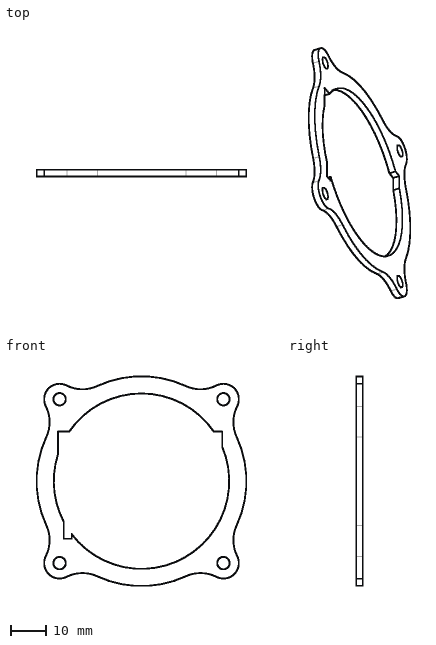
import cadquery as cq
import math

thickness = 2.0
ring_radius = 29.95
bore_radius = 25.0
hole_offset = 23.35
hole_diameter = 3.5
lug_radius = 4.45
blend_radius = 10.0

relief_left = -23.8
relief_right = 23.0
relief_top = 14.15

notch_left = -22.15
notch_right = -19.95
notch_bottom = -16.4


def polar(radius, angle):
    return (radius * math.cos(angle), radius * math.sin(angle))


def toward(start, end, distance):
    """Point at the given distance from start on the line to end."""
    ratio = distance / math.dist(start, end)
    return (start[0] + ratio * (end[0] - start[0]), start[1] + ratio * (end[1] - start[1]))


def rotate(point, angle):
    return polar(math.hypot(*point), math.atan2(point[1], point[0]) + angle)


def mirror_diagonal(point):
    return (point[1], point[0])


def outer_profile():
    """Ring with four lugs, as tangent arcs around the XZ plane."""
    centre = (0.0, 0.0)
    lug_centre = (hole_offset, hole_offset)
    lug_distance = math.hypot(*lug_centre)

    ring_to_blend = ring_radius + blend_radius
    lug_to_blend = lug_radius + blend_radius
    cosine = (ring_to_blend**2 + lug_distance**2 - lug_to_blend**2) / (2 * ring_to_blend * lug_distance)
    blend_centre = polar(ring_to_blend, math.pi / 4 - math.acos(cosine))

    ring_tangent = toward(centre, blend_centre, ring_radius)
    lug_tangent = toward(lug_centre, blend_centre, lug_radius)
    chord_middle = ((ring_tangent[0] + lug_tangent[0]) / 2, (ring_tangent[1] + lug_tangent[1]) / 2)
    blend_middle = toward(blend_centre, chord_middle, blend_radius)
    lug_tip = polar(lug_distance + lug_radius, math.pi / 4)

    profile = cq.Workplane("XZ").moveTo(*ring_tangent)
    for quarter in range(4):
        turn = quarter * math.pi / 2
        arcs = [
            (blend_middle, lug_tangent),
            (lug_tip, mirror_diagonal(lug_tangent)),
            (mirror_diagonal(blend_middle), mirror_diagonal(ring_tangent)),
            (rotate((ring_radius, 0.0), math.pi / 2), rotate(ring_tangent, math.pi / 2)),
        ]
        for middle, end in arcs:
            profile = profile.threePointArc(rotate(middle, turn), rotate(end, turn))
    return profile.close()


def through_cut(left, right, bottom, top):
    """Rectangular cutter through the full thickness."""
    return (
        cq.Workplane("XZ")
        .center((left + right) / 2, (bottom + top) / 2)
        .rect(right - left, top - bottom)
        .extrude(thickness / 2, both=True)
    )


plate = outer_profile().extrude(thickness / 2, both=True)
bore = cq.Workplane("XZ").circle(bore_radius).extrude(thickness / 2, both=True)
screw_holes = (
    cq.Workplane("XZ")
    .rect(2 * hole_offset, 2 * hole_offset, forConstruction=True)
    .vertices()
    .circle(hole_diameter / 2)
    .extrude(thickness / 2, both=True)
)

relief = through_cut(relief_left, relief_right, 0.0, relief_top)
notch = through_cut(notch_left, notch_right, notch_bottom, 0.0)

result = plate.cut(bore).cut(screw_holes).cut(relief).cut(notch)